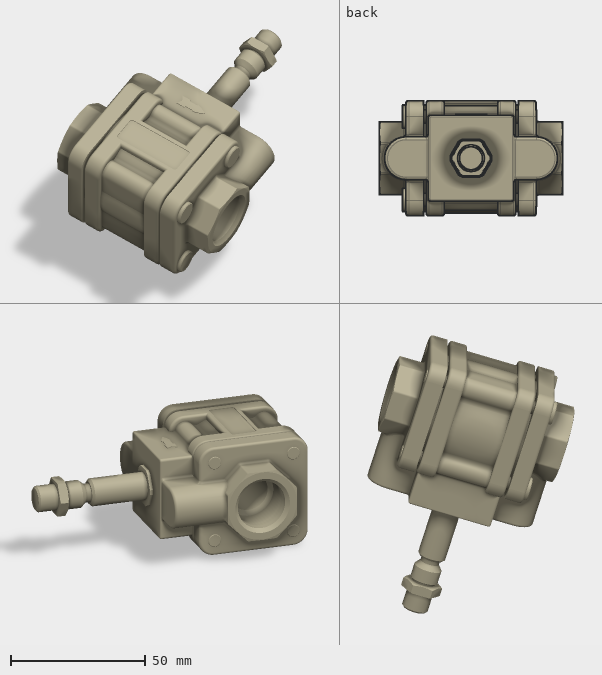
import cadquery as cq
import math


overall_length = 99.5

plate_side = 43.0
plate_half = plate_side / 2
plate_corner_radius = 5.9
edge_radius = 1.0

port_end_x = 34.2
flange_outer_x = 24.3
flange_inner_x = 17.7
plate_outer_x = 16.7
plate_inner_x = 9.9

bolt_offset = 15.5
bolt_radius = 2.5
bolt_tip_height = 0.3
bolt_tip_chamfer = 0.2
bolt_head_radius = 4.4
bolt_head_height = 1.4
bolt_head_chamfer = 0.3
bolt_places = [
    (y, z)
    for y in (-bolt_offset, bolt_offset)
    for z in (-bolt_offset, bolt_offset)
]

core_radius = 20.5
sleeve_radius = 4.0
sleeve_blend_radius = 2.0
seal_disc_radius = 19.9

bridge_width = 13.9
label_length = 26.9
label_width = 9.9
label_corner_radius = 1.0
label_depth = 0.3
bridge_height = 4.0

port_across_flats = 27.3
port_face_radius = 13.4
port_bevel_angle = math.radians(15)
mouth_radius = 10.7
mouth_chamfer = 1.4
counterbore_depth = 14.9
counterbore_cone_angle = math.radians(30)
bore_radius = 7.5

lobe_radius = 8.0
lobe_centre_x = flange_outer_x
lobe_start_y = 5.0
lobe_back_y = 33.6

block_side = 32.0
block_start_y = 9.9
block_back_y = 34.1
block_rim_radius = 0.6
pad_thickness = 1.2
pad_across_flats = 14.3
pad_corner_span = 15.4
arrow_centre_y = 25.8
arrow_height = 0.3

spindle_seat_y = block_back_y + pad_thickness
spindle_length = overall_length - plate_half - spindle_seat_y
shank_radius = 5.3
shank_chamfer = 0.9
shank_end = 21.6
groove_radius = 3.6
groove_end = 23.4
cone_end = 25.5
collar_end = 30.8
collar_chamfer = 0.4
relief_radius = 4.3
hex_start = 31.5
hex_end = 35.1
hex_across_corners = 15.1
hex_seat_radius = 6.6
hex_seat_bevel = 0.5
hex_top_radius = 7.3
hex_top_bevel = 0.2
stud_radius = 5.0
stud_chamfer = 0.7


selection_margin = 0.1


def yz_plane(x):
    return cq.Workplane("YZ", origin=(x, 0, 0))


def both_sides(shape):
    """The shape together with its mirror image across the middle of the valve."""
    return shape.union(shape.mirror("YZ"))


def in_box(corner, opposite):
    return cq.selectors.BoxSelector(corner, opposite)



def square_plate(x_start, x_end):
    plate = yz_plane(x_start).rect(plate_side, plate_side).extrude(x_end - x_start)
    return plate.edges("|X").fillet(plate_corner_radius)


def port():
    """Octagonal port on the -X side, with its end corners bevelled to a circle."""
    port_length = port_end_x - flange_inner_x
    across_corners = port_across_flats / math.cos(math.pi / 8)
    octagon = (
        yz_plane(-port_end_x)
        .transformed(rotate=(0, 0, 22.5))
        .polygon(8, across_corners)
        .extrude(port_length)
        .edges("|X").fillet(edge_radius)
    )
    bevel_spread = port_length / math.tan(port_bevel_angle)
    bevel_cone = (
        cq.Workplane("XY")
        .polyline([
            (-port_end_x, 0),
            (-port_end_x, port_face_radius),
            (-flange_inner_x, port_face_radius + bevel_spread),
            (-flange_inner_x, 0),
        ])
        .close()
        .revolve(360, (0, 0, 0), (1, 0, 0))
    )
    return octagon.intersect(bevel_cone)


def lobe():
    body = (
        cq.Workplane("XZ", origin=(0, lobe_back_y, 0))
        .slot2D(2 * (lobe_centre_x + lobe_radius), 2 * lobe_radius)
        .extrude(lobe_back_y - lobe_start_y)
    )
    return body.faces(">Y").edges().fillet(edge_radius)


def lobe_end():
    """The part of the lobe outside the inner face of the -X flange."""
    middle = cq.Workplane("XY").box(2 * flange_inner_x, 2 * overall_length, plate_side)
    return lobe().cut(middle).solids("<X")


def end_cap():
    """Flange, port and lobe end on the -X side, with the roundings where they meet."""
    cap = square_plate(-flange_outer_x, -flange_inner_x).union(port()).union(lobe_end())
    outer_face_edges = in_box(
        (-flange_outer_x - selection_margin, -plate_side, -plate_side),
        (-flange_outer_x + selection_margin, plate_half + selection_margin, plate_side),
    )
    lobe_to_flange_edges = in_box(
        (-flange_outer_x, plate_half - selection_margin, -lobe_radius - selection_margin),
        (-flange_inner_x - selection_margin, plate_half + selection_margin, lobe_radius + selection_margin),
    )
    lobe_to_port_edges = in_box(
        (-lobe_centre_x - lobe_radius, lobe_radius, -lobe_radius),
        (-flange_outer_x - selection_margin, port_across_flats / 2 + selection_margin, lobe_radius),
    )
    meeting_edges = (
        cap.edges(outer_face_edges)
        .add(cap.edges(lobe_to_flange_edges))
        .add(cap.edges(lobe_to_port_edges).edges("not |X"))
    )
    return meeting_edges.fillet(edge_radius)


def core():
    """Round core with a sleeve around each bolt and flat front and back faces."""
    half_length = (plate_inner_x + plate_outer_x) / 2
    start = yz_plane(-half_length)
    flat_depth = 2 * (bolt_offset + sleeve_radius)
    flats = start.rect(flat_depth, 2 * bolt_offset).extrude(2 * half_length)
    sleeves = start.pushPoints(bolt_places).circle(sleeve_radius).extrude(2 * half_length)
    body = start.circle(core_radius).extrude(2 * half_length).union(flats).union(sleeves)
    valley_box = in_box(
        (-selection_margin, -bolt_offset, -plate_half),
        (selection_margin, bolt_offset, plate_half),
    )
    valleys = body.edges(valley_box).edges("|X")
    return valleys.fillet(sleeve_blend_radius)


def bridged_plates():
    """The two body plates and the bridge that joins them on top, with the label recess."""
    outline = square_plate(plate_inner_x, plate_outer_x).faces(">X").edges().fillet(edge_radius)
    bridge = (
        cq.Workplane("XY", origin=(0, 0, plate_half))
        .rect(2 * plate_inner_x, bridge_width)
        .extrude(-bridge_height)
    )
    plates = both_sides(outline).union(bridge)
    below_top = plate_half - selection_margin
    above_top = plate_half + selection_margin
    bridge_rims = in_box(
        (-selection_margin, -bridge_width, below_top),
        (selection_margin, bridge_width, above_top),
    )
    bridge_roots = in_box(
        (-plate_outer_x, -bridge_width, plate_half - bridge_height - selection_margin),
        (plate_outer_x, bridge_width, below_top),
    )
    inner_rims = in_box(
        (plate_inner_x - selection_margin, -plate_side, -plate_side),
        (plate_inner_x + selection_margin, plate_side, plate_side),
    ) + in_box(
        (-plate_inner_x - selection_margin, -plate_side, -plate_side),
        (-plate_inner_x + selection_margin, plate_side, plate_side),
    )
    rims = plates.edges((inner_rims - bridge_roots) + bridge_rims)
    return rims.fillet(edge_radius).cut(label_recess())


def label_recess():
    return (
        cq.Workplane("XY", origin=(0, 0, plate_half))
        .rect(label_length, label_width)
        .extrude(-label_depth)
        .edges("|Z").fillet(label_corner_radius)
    )


def block_with_lobe():
    """Square spindle block crossed by the lobe, with the sides of the lobe blended in."""
    block = (
        cq.Workplane("XZ", origin=(0, block_back_y, 0))
        .rect(block_side, block_side)
        .extrude(block_back_y - block_start_y)
        .edges("|Y").fillet(edge_radius)
        .faces(">Y").edges().fillet(block_rim_radius)
    )
    reach = block_side / 2 + selection_margin
    half_width = lobe_radius + selection_margin
    lobe_roots = in_box((-reach, 0, -half_width), (reach, overall_length, half_width))
    body = block.union(lobe())
    return body.edges("|Y").edges(lobe_roots).fillet(edge_radius)


def block_on_core():
    """Core and spindle block, with the bolt sleeves blended into the block."""
    sleeve_y = bolt_offset + sleeve_radius
    sleeve_roots = in_box(
        (-selection_margin, sleeve_y - selection_margin, -block_side / 2 - selection_margin),
        (selection_margin, sleeve_y + selection_margin, block_side / 2 + selection_margin),
    )
    return core().union(block_with_lobe()).edges(sleeve_roots).fillet(edge_radius)


def hexagonal_pad():
    """Hexagonal pad with trimmed corners under the spindle."""
    seat = cq.Workplane("XZ", origin=(0, spindle_seat_y, 0))
    hexagon = seat.polygon(6, pad_across_flats / math.cos(math.pi / 6)).extrude(pad_thickness)
    trim = (
        seat.transformed(rotate=(0, 0, 30))
        .polygon(6, pad_corner_span / math.cos(math.pi / 6))
        .extrude(pad_thickness)
    )
    return hexagon.intersect(trim)


def flow_arrow():
    """Raised arrow pointing along +X on top of the spindle block."""
    upper_edge = [
        (-5.9, 2.0),
        (-2.2, 2.0),
        (-2.2, 1.4),
        (1.2, 1.4),
        (1.2, 1.8),
        (3.3, 1.2),
    ]
    tip = (5.7, 0)
    tail_notch = (-4.7, 0)
    lower_edge = [(x, -y) for x, y in reversed(upper_edge)]
    return (
        cq.Workplane("XY", origin=(0, arrow_centre_y, block_side / 2))
        .polyline([tail_notch, *upper_edge, tip, *lower_edge])
        .close()
        .extrude(arrow_height)
    )


def tie_bolts():
    """Bolts across the gaps: short tips on the -X side and round heads on the +X side."""
    shanks = (
        yz_plane(-flange_outer_x - bolt_tip_height)
        .pushPoints(bolt_places)
        .circle(bolt_radius)
        .extrude(2 * flange_outer_x + bolt_tip_height)
        .faces("<X").edges().chamfer(bolt_tip_chamfer)
    )
    heads = (
        yz_plane(flange_outer_x)
        .pushPoints(bolt_places)
        .circle(bolt_head_radius)
        .extrude(bolt_head_height)
        .faces(">X").edges().chamfer(bolt_head_chamfer)
    )
    return shanks.union(heads)


def bore():
    """Through bore, opened at each port by a cone-bottomed counterbore with a chamfered mouth."""
    counterbore_radius = mouth_radius - mouth_chamfer
    cone_depth = (counterbore_radius - bore_radius) * math.tan(counterbore_cone_angle)
    half_bore = (
        cq.Workplane("XY")
        .polyline([
            (-port_end_x, 0),
            (-port_end_x, mouth_radius),
            (-port_end_x + mouth_chamfer, counterbore_radius),
            (-port_end_x + counterbore_depth, counterbore_radius),
            (-port_end_x + counterbore_depth + cone_depth, bore_radius),
            (0, bore_radius),
            (0, 0),
        ])
        .close()
        .revolve(360, (0, 0, 0), (1, 0, 0))
    )
    return both_sides(half_bore)


def make_housing():
    seal_discs = yz_plane(-flange_inner_x).circle(seal_disc_radius).extrude(2 * flange_inner_x)
    return (
        block_on_core()
        .union(bridged_plates())
        .union(seal_discs)
        .union(both_sides(end_cap()))
        .union(tie_bolts())
        .union(hexagonal_pad())
        .union(flow_arrow())
        .cut(bore())
    )



def spindle_hexagon():
    """Wrench hexagon with the corners bevelled at both faces."""
    hexagon = (
        cq.Workplane("XZ", origin=(0, spindle_seat_y + hex_end, 0))
        .polygon(6, hex_across_corners)
        .extrude(hex_end - hex_start)
    )
    corner_radius = hex_across_corners / 2
    bevels = (
        cq.Workplane("XY", origin=(0, spindle_seat_y, 0))
        .polyline([
            (0, hex_start),
            (hex_seat_radius, hex_start),
            (corner_radius, hex_start + hex_seat_bevel),
            (corner_radius, hex_end - hex_top_bevel),
            (hex_top_radius, hex_end),
            (0, hex_end),
        ])
        .close()
        .revolve(360, (0, 0, 0), (0, 1, 0))
    )
    return hexagon.intersect(bevels)


def make_spindle():
    """Grooved plug with a hexagon and an end stud, standing on the hexagonal pad."""
    turned = (
        cq.Workplane("XY", origin=(0, spindle_seat_y, 0))
        .polyline([
            (0, 0),
            (shank_radius, 0),
            (shank_radius, shank_end - shank_chamfer),
            (shank_radius - shank_chamfer, shank_end),
            (groove_radius, shank_end),
            (groove_radius, groove_end),
            (shank_radius, cone_end),
            (shank_radius, collar_end - collar_chamfer),
            (shank_radius - collar_chamfer, collar_end),
            (relief_radius, collar_end),
            (relief_radius, hex_start),
            (stud_radius, hex_start),
            (stud_radius, spindle_length - stud_chamfer),
            (stud_radius - stud_chamfer, spindle_length),
            (0, spindle_length),
        ])
        .close()
        .revolve(360, (0, 0, 0), (0, 1, 0))
    )
    return turned.union(spindle_hexagon())


housing = make_housing()
spindle = make_spindle()

result = cq.Compound.makeCompound([housing.val(), spindle.val()])